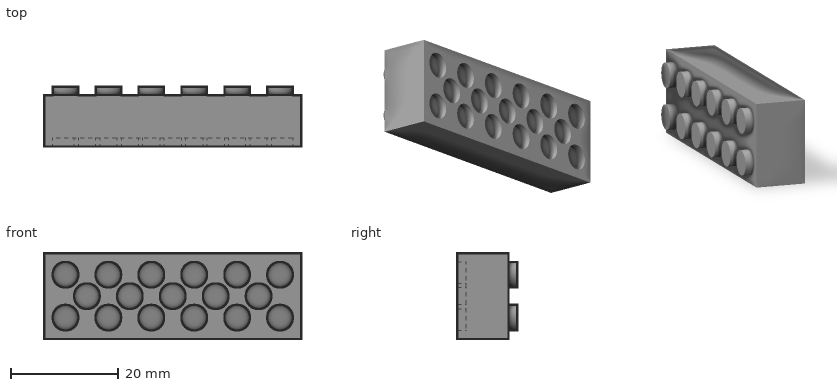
import cadquery as cq

pitch = 8.0
columns = 6
rows = 2
body_depth = 9.6
round_diameter = 4.8
stud_height = 1.6
socket_depth = 1.6

body_length = columns * pitch
body_height = rows * pitch
front_y = -body_depth / 2
back_y = body_depth / 2


def grid_points(x_count, z_count):
    """Points of a centred grid in the XZ plane, one pitch apart."""
    return [
        ((i - (x_count - 1) / 2) * pitch, (j - (z_count - 1) / 2) * pitch)
        for i in range(x_count)
        for j in range(z_count)
    ]


def cylinders(points, start_y, length):
    """Round pegs of the common diameter running from start_y toward +Y."""
    return (
        cq.Workplane("XZ", origin=(0, start_y, 0))
        .pushPoints(points)
        .circle(round_diameter / 2)
        .extrude(-length)
    )


stud_points = grid_points(columns, rows)
socket_points = stud_points + grid_points(columns - 1, rows - 1)

body = cq.Workplane("XY").box(body_length, body_depth, body_height)
studs = cylinders(stud_points, back_y, stud_height)
sockets = cylinders(socket_points, front_y, socket_depth)

result = body.union(studs).cut(sockets)